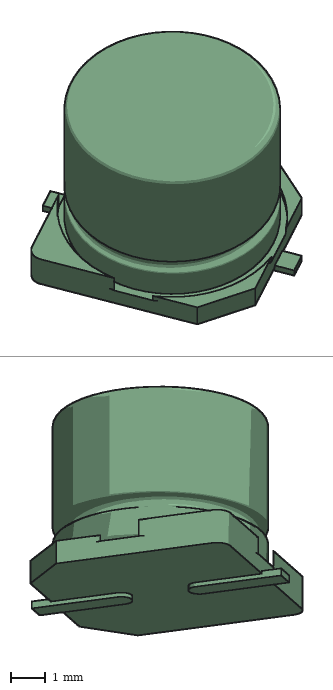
import cadquery as cq
import math

total_height = 5.4
lead_span = 7.8

base_width = 6.6
base_bottom = 0.13
base_top = 1.155
low_deck_top = 0.835
base_corner_radius = 0.41
base_chamfer = 1.32
pocket_diameter = 6.71
pocket_floor = 0.65

can_radius = 6.3 / 2
can_top_fillet = 0.2
can_bottom_fillet = low_deck_top - pocket_floor
groove_height = 1.84
groove_radius = 0.21
groove_lip_radius = 0.085

lead_width = 0.65
lead_thickness = 0.22
lead_inner_x = 0.9


def make_base():
    block = (
        cq.Workplane("XY")
        .workplane(offset=base_bottom)
        .rect(base_width, base_width)
        .extrude(base_top - base_bottom)
        .edges("|Z and <X").fillet(base_corner_radius)
        .edges("|Z and >X").chamfer(base_chamfer)
    )
    low_deck_cut = (
        cq.Workplane("XY")
        .workplane(offset=low_deck_top)
        .center(base_width / 2, 0)
        .rect(base_width, base_width)
        .extrude(base_top - low_deck_top)
    )
    pocket = (
        cq.Workplane("XY")
        .workplane(offset=pocket_floor)
        .circle(pocket_diameter / 2)
        .extrude(base_top - pocket_floor)
    )
    return block.cut(low_deck_cut).cut(pocket)


def make_can():
    center_distance = groove_radius + groove_lip_radius
    groove_half_height = math.sqrt(center_distance**2 - groove_lip_radius**2)
    groove_top = groove_height + groove_half_height
    tangent_depth = groove_radius * groove_lip_radius / center_distance
    tangent_rise = groove_radius * groove_half_height / center_distance
    lip_angle = math.atan2(tangent_rise - groove_half_height, groove_lip_radius - tangent_depth) / 2
    lip_mid_x = can_radius - groove_lip_radius * (1 - math.cos(lip_angle))
    lip_mid_rise = groove_half_height + groove_lip_radius * math.sin(lip_angle)
    tangent_x = can_radius - tangent_depth

    profile = (
        cq.Workplane("XZ")
        .moveTo(0, pocket_floor)
        .lineTo(can_radius, pocket_floor)
        .lineTo(can_radius, groove_height - groove_half_height)
        .threePointArc((lip_mid_x, groove_height - lip_mid_rise), (tangent_x, groove_height - tangent_rise))
        .threePointArc((can_radius - groove_radius, groove_height), (tangent_x, groove_height + tangent_rise))
        .threePointArc((lip_mid_x, groove_height + lip_mid_rise), (can_radius, groove_top))
        .lineTo(can_radius, total_height)
        .lineTo(0, total_height)
        .close()
    )
    can = profile.revolve(360, (0, 0, 0), (0, 1, 0))
    return can.faces(">Z").edges().fillet(can_top_fillet).faces("<Z").edges().fillet(can_bottom_fillet)


def make_lead(side):
    half_width = lead_width / 2
    outer_x = side * lead_span / 2
    round_start_x = side * (lead_inner_x + half_width)
    return (
        cq.Workplane("XY")
        .moveTo(outer_x, -half_width)
        .lineTo(round_start_x, -half_width)
        .threePointArc((side * lead_inner_x, 0), (round_start_x, half_width))
        .lineTo(outer_x, half_width)
        .close()
        .extrude(lead_thickness)
    )


result = make_base().union(make_can())
for side in (-1, 1):
    result = result.union(make_lead(side))